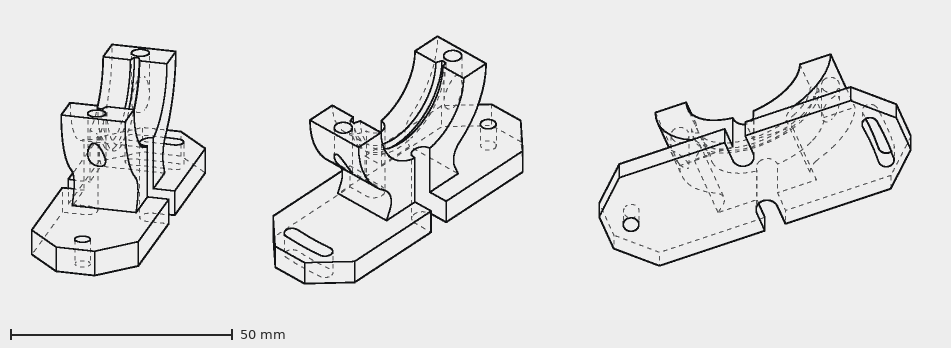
import cadquery as cq
import math

plate_length = 72.0
plate_width = 25.0
plate_thickness = 6.0
corner_chamfer = 8.0

total_height = 32.0
saddle_width = 15.0
saddle_radius = 21.25
bore_radius = 13.75

neck_half_width = 10.4
neck_fillet = 5.25
foot_lean = math.radians(24)

groove_depth = 1.5
groove_mouth_width = 2.15
groove_floor_width = 1.15

screw_diameter = 4.0
screw_offset = 18.2

pivot_diameter = 3.5
pivot_offset = 30.0
slot_half_chord = 5.05

notch_width = 5.0


def make_plate():
    plate = cq.Workplane("XY").box(
        plate_width, plate_length, plate_thickness, centered=(True, True, False)
    )
    return plate.edges("|Z").chamfer(corner_chamfer)


def make_saddle():
    fillet_y = neck_half_width + neck_fillet
    tangent_distance = saddle_radius + neck_fillet
    fillet_z = total_height - math.sqrt(tangent_distance**2 - fillet_y**2)
    join_angle = math.acos(fillet_y / tangent_distance)
    mid_angle = join_angle / 2

    outer_mid = (
        saddle_radius * math.cos(mid_angle),
        total_height - saddle_radius * math.sin(mid_angle),
    )
    outer_end = (
        saddle_radius * math.cos(join_angle),
        total_height - saddle_radius * math.sin(join_angle),
    )
    waist = (neck_half_width, fillet_z)
    foot_top = (
        fillet_y - neck_fillet * math.cos(foot_lean),
        fillet_z - neck_fillet * math.sin(foot_lean),
    )
    foot_y = foot_top[0] + (foot_top[1] - plate_thickness) * math.tan(foot_lean)

    half = (
        cq.Workplane("YZ", origin=(-saddle_width / 2, 0, 0))
        .moveTo(0, total_height)
        .lineTo(saddle_radius, total_height)
        .threePointArc(outer_mid, outer_end)
        .threePointArc(waist, foot_top)
        .lineTo(foot_y, plate_thickness)
        .lineTo(0, plate_thickness)
        .close()
        .extrude(saddle_width)
    )
    return half.union(half.mirror("XZ"))


def make_bore():
    return (
        cq.Workplane("YZ", origin=(-saddle_width / 2, 0, total_height))
        .circle(bore_radius)
        .extrude(saddle_width)
    )


def make_groove():
    floor_radius = bore_radius + groove_depth
    mouth_x = groove_mouth_width / 2
    floor_x = groove_floor_width / 2
    profile = [
        (-mouth_x, 0),
        (-mouth_x, bore_radius),
        (-floor_x, floor_radius),
        (floor_x, floor_radius),
        (mouth_x, bore_radius),
        (mouth_x, 0),
    ]
    return (
        cq.Workplane("XY", origin=(0, 0, total_height))
        .polyline(profile)
        .close()
        .revolve(360, (0, 0, 0), (1, 0, 0))
    )


def make_screw_holes():
    return (
        cq.Workplane("XY", origin=(0, 0, plate_thickness))
        .pushPoints([(0, -screw_offset), (0, screw_offset)])
        .circle(screw_diameter / 2)
        .extrude(total_height - plate_thickness)
    )


def make_pivot_hole():
    return (
        cq.Workplane("XY")
        .center(0, -pivot_offset)
        .circle(pivot_diameter / 2)
        .extrude(plate_thickness)
    )


def make_adjustment_slot():
    slot_radius = 2 * pivot_offset
    half_angle = math.asin(slot_half_chord / slot_radius)
    inner_radius = slot_radius - pivot_diameter / 2
    outer_radius = slot_radius + pivot_diameter / 2

    def polar(radius, angle):
        return (radius * math.sin(angle), radius * math.cos(angle))

    band = (
        cq.Workplane("XY", origin=(0, -pivot_offset, 0))
        .moveTo(*polar(inner_radius, -half_angle))
        .threePointArc((0, inner_radius), polar(inner_radius, half_angle))
        .lineTo(*polar(outer_radius, half_angle))
        .threePointArc((0, outer_radius), polar(outer_radius, -half_angle))
        .close()
        .extrude(plate_thickness)
    )
    ends = (
        cq.Workplane("XY", origin=(0, -pivot_offset, 0))
        .pushPoints([polar(slot_radius, -half_angle), polar(slot_radius, half_angle)])
        .circle(pivot_diameter / 2)
        .extrude(plate_thickness)
    )
    return band.union(ends)


def make_side_notch(side):
    end_x = side * saddle_width / 2
    channel_length = plate_width / 2
    round_end = (
        cq.Workplane("XY")
        .center(end_x, 0)
        .circle(notch_width / 2)
        .extrude(total_height)
    )
    channel = (
        cq.Workplane("XY")
        .center(end_x + side * channel_length / 2, 0)
        .rect(channel_length, notch_width)
        .extrude(total_height)
    )
    return round_end.union(channel)


saddle = make_saddle().cut(make_bore()).cut(make_groove()).cut(make_screw_holes())
plate = make_plate().cut(make_pivot_hole()).cut(make_adjustment_slot())

result = plate.union(saddle)
for side in (-1, 1):
    result = result.cut(make_side_notch(side))